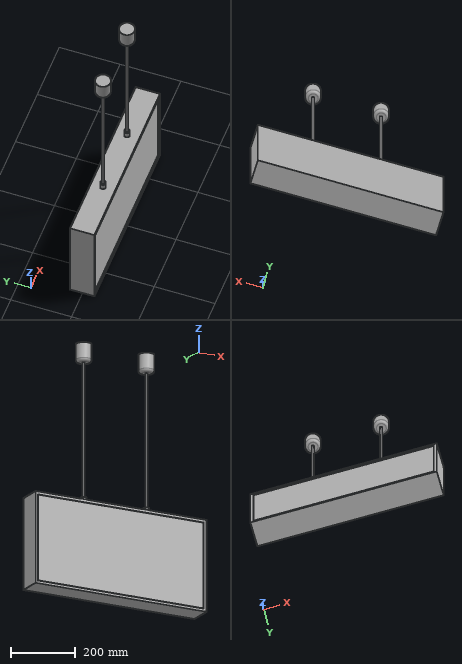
import cadquery as cq

box_length = 600.0
box_depth = 80.0
box_height = 300.0
total_height = 820.0

frame_width = 10.0
panel_recess = 3.0

suspension_spacing = 220.0
ferrule_diameter = 18.0
ferrule_height = 20.0
rod_diameter = 8.0
cap_diameter = 50.0
cap_height = 60.0
cap_edge_radius = 10.0


def cylinder(diameter, bottom, top):
    """Upright cylinder on the Z axis between two heights."""
    return cq.Workplane("XY").workplane(offset=bottom).circle(diameter / 2).extrude(top - bottom)


def sign_box():
    """Box standing on Z = 0 with a shallow recessed panel on its -Y face."""
    box = cq.Workplane("XY").box(box_length, box_depth, box_height, centered=(True, True, False))
    return (
        box.faces("<Y")
        .workplane(centerOption="CenterOfBoundBox")
        .rect(box_length - 2 * frame_width, box_height - 2 * frame_width)
        .cutBlind(-panel_recess)
    )


def suspension():
    """Rod with a ferrule at the box and a cap, rounded below, at the ceiling."""
    cap_bottom = total_height - cap_height
    ferrule = cylinder(ferrule_diameter, box_height, box_height + ferrule_height)
    rod = cylinder(rod_diameter, box_height, total_height)
    cap = cylinder(cap_diameter, cap_bottom, total_height).faces("<Z").edges().fillet(cap_edge_radius)
    return ferrule.union(rod).union(cap)


result = sign_box()
for side in (-1, 1):
    result = result.union(suspension().translate((side * suspension_spacing / 2, 0, 0)))